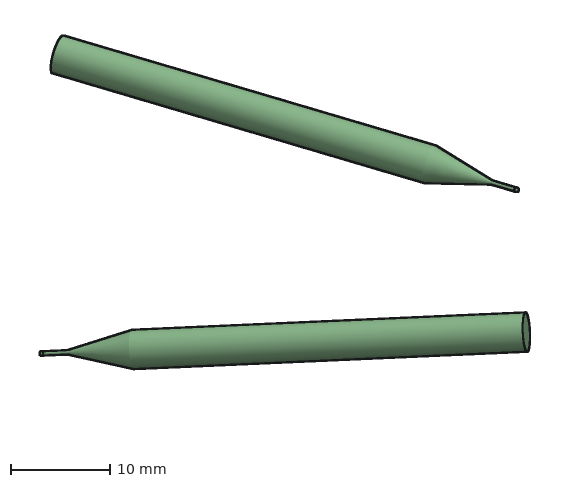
import cadquery as cq

total_length = 50.0
shank_end = 40.4
cone_end = 47.05
neck_start = 47.95
head_start = 49.6

shank_radius = 2.0
collar_radius = 0.25
neck_radius = 0.235
head_radius = 0.25

ball_start = total_length - head_radius

half_profile = (
    cq.Workplane("XY")
    .lineTo(0, shank_radius)
    .lineTo(shank_end, shank_radius)
    .lineTo(cone_end, collar_radius)
    .lineTo(neck_start, neck_radius)
    .lineTo(head_start, neck_radius)
    .lineTo(head_start, head_radius)
    .lineTo(ball_start, head_radius)
    .radiusArc((total_length, 0), head_radius)
    .close()
)

result = half_profile.revolve(360, (0, 0, 0), (1, 0, 0))